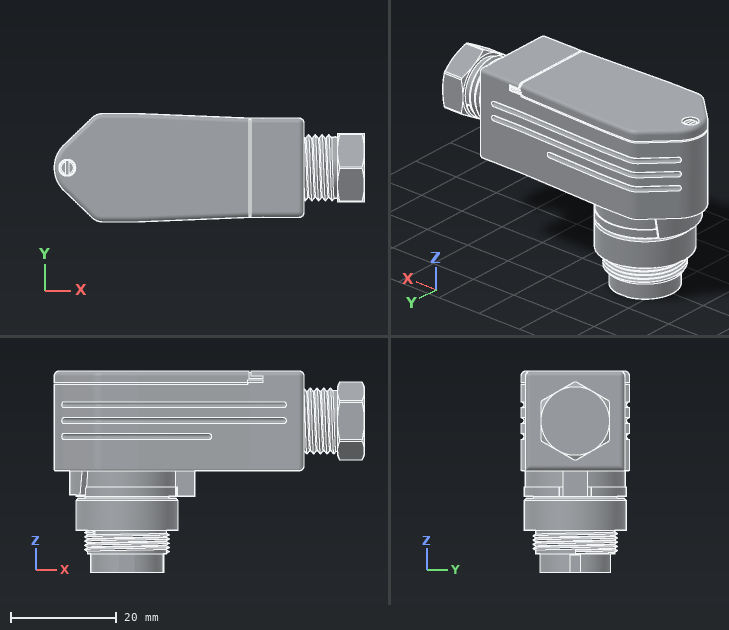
import cadquery as cq
import math

OVERLAP = 0.2

NOSE_X = -13.75
HOUSING_LENGTH = 47.2
HOUSING_WIDTH = 20.5
HOUSING_HEIGHT = 18.9
REAR_WIDTH = 18.8
REAR_X = NOSE_X + HOUSING_LENGTH
SHOULDER_X = 2.05
LID_END_X = 23.05
NOSE_RADIUS = 5.93
DIAGONAL_ANGLE = math.radians(44.0)
CORNER_RADIUS = 2.85
EDGE_RADIUS = 1.0
BOTTOM_EDGE_RADIUS = 0.3

GROOVE_RADIUS = 0.55
GROOVE_SPANS = ((12.5, 29.55), (9.5, 29.55), (6.5, 15.45))

SEAM_DEPTH = 0.1
SEAM_BOTTOM = 16.35
SEAM_WIDTH = 0.3
LATCH_START_X = 22.8
LATCH_END_X = 25.65
LATCH_DEPTH = 0.3
LATCH_SLOTS = ((16.7, 17.2, LATCH_START_X), (17.5, 17.9, LID_END_X))
LID_GAP = 0.35
LID_GAP_DEPTH = 1.3

SCREW_X = -11.27
SCREW_HOLE_DIAMETER = 3.2
SCREW_HEAD_DIAMETER = 2.8
SCREW_HOLE_DEPTH = 1.2
SCREW_HEAD_RECESS = 0.3
SCREW_HEAD_CHAMFER = 0.25
SCREW_SLOT_WIDTH = 0.6
SCREW_SLOT_DEPTH = 0.5

NECK_RADIUS = 9.47
FLANGE_TOP = -3.05
FLANGE_BOTTOM = -4.8
COLLAR_DIAMETER = 19.3
COLLAR_TOP = -5.15
COLLAR_BOTTOM = -11.2
COLLAR_CHAMFER = 0.4
WAIST_RADIUS = 7.9
PANEL_RADIUS = 10.85
PANEL_BOTTOM = -4.5
PANEL_TOP_ANGLE = 38.8
PANEL_BOTTOM_ANGLE = 35.3
TAB_RADIUS = 9.85
TAB_ANGLE = 18.0
BLOCK_END_X = 12.8
BLOCK_WIDTH = 4.6

RIDGE_BASE_SHARE = 0.96
THREAD_DIAMETER = 16.0
THREAD_ROOT_DIAMETER = 15.0
THREAD_PITCH = 0.8
THREAD_TURNS = 4.6
THREAD_BOTTOM = -15.65
PLUG_RADIUS = 6.85
PLUG_FLAT_Y = 6.7
TOTAL_HEIGHT = 38.1
PLUG_BOTTOM = HOUSING_HEIGHT - TOTAL_HEIGHT
KEY_END_X = 7.0
KEY_WIDTH = 2.0
KEY_TOP = -15.9

GLAND_Z = 9.43
GLAND_DIAMETER = 12.5
GLAND_ROOT_DIAMETER = 11.3
GLAND_PITCH = 1.27
GLAND_TURNS = 5.2
GLAND_THREAD_X = 32.7
GLAND_SHOULDER_RADIUS = 5.8
GLAND_SHOULDER_X = 38.7
NUT_X = 39.75
TOTAL_LENGTH = 58.56
NUT_END_X = NOSE_X + TOTAL_LENGTH
NUT_ACROSS_FLATS = 12.95
NUT_TURNED_DIAMETER = 14.75
NUT_CHAMFER_DEPTH = 0.4
NUT_CHAMFER_HEIGHT = 0.9


def cylinder(radius, bottom, top):
    return cq.Workplane("XY").workplane(offset=bottom).circle(radius).extrude(top - bottom)


def box(x_range, y_range, z_range):
    size = [high - low for low, high in (x_range, y_range, z_range)]
    corner = (x_range[0], y_range[0], z_range[0])
    return cq.Workplane("XY").box(*size, centered=False).translate(corner)


def outline_points():
    """Points of the housing side at -Y, from the nose to the rear."""
    half = HOUSING_WIDTH / 2
    along_x = math.cos(DIAGONAL_ANGLE)
    along_y = math.sin(DIAGONAL_ANGLE)
    nose_end = (NOSE_X + NOSE_RADIUS * (1 - along_y), -NOSE_RADIUS * along_x)
    corner_x = nose_end[0] + (half + nose_end[1]) / math.tan(DIAGONAL_ANGLE)
    tangent = CORNER_RADIUS * math.tan(DIAGONAL_ANGLE / 2)
    corner_start = (corner_x - tangent * along_x, -half + tangent * along_y)
    corner_end = (corner_x + tangent, -half)
    corner_mid = (
        corner_end[0] - CORNER_RADIUS * math.sin(DIAGONAL_ANGLE / 2),
        -half + CORNER_RADIUS * (1 - math.cos(DIAGONAL_ANGLE / 2)),
    )
    return nose_end, corner_start, corner_mid, corner_end


def housing_prism():
    nose_end, corner_start, corner_mid, corner_end = outline_points()
    half = HOUSING_WIDTH / 2
    rear_half = REAR_WIDTH / 2

    def mirrored(point):
        return (point[0], -point[1])

    return (
        cq.Workplane("XY")
        .moveTo(*nose_end)
        .lineTo(*corner_start)
        .threePointArc(corner_mid, corner_end)
        .lineTo(SHOULDER_X, -half)
        .lineTo(LID_END_X, -rear_half)
        .lineTo(REAR_X, -rear_half)
        .lineTo(REAR_X, rear_half)
        .lineTo(LID_END_X, rear_half)
        .lineTo(SHOULDER_X, half)
        .lineTo(*mirrored(corner_end))
        .threePointArc(mirrored(corner_mid), mirrored(corner_start))
        .lineTo(*mirrored(nose_end))
        .threePointArc((NOSE_X, 0), nose_end)
        .close()
        .extrude(HOUSING_HEIGHT)
    )


def grip_groove(height, end_x):
    """Cutters of a round groove along the -Y side: the groove and the balls at its ends."""
    nose_end, corner_start, corner_mid, corner_end = outline_points()
    path = (
        cq.Workplane("XY")
        .workplane(offset=height)
        .moveTo(*nose_end)
        .lineTo(*corner_start)
        .threePointArc(corner_mid, corner_end)
        .lineTo(SHOULDER_X, -HOUSING_WIDTH / 2)
    )
    taper_slope = (HOUSING_WIDTH - REAR_WIDTH) / 2 / (LID_END_X - SHOULDER_X)
    if end_x > LID_END_X:
        end_y = -REAR_WIDTH / 2
        path = path.lineTo(LID_END_X, end_y)
    else:
        end_y = -HOUSING_WIDTH / 2 + taper_slope * (end_x - SHOULDER_X)
    path = path.lineTo(end_x, end_y)
    direction = (math.cos(DIAGONAL_ANGLE), -math.sin(DIAGONAL_ANGLE), 0)
    start = cq.Plane(origin=(*nose_end, height), xDir=(0, 0, 1), normal=direction)
    groove = cq.Workplane(start).circle(GROOVE_RADIUS).sweep(path, transition="right")
    ball = cq.Workplane("XY").sphere(GROOVE_RADIUS)
    return groove, ball.translate((*nose_end, height)), ball.translate((end_x, end_y, height))


def cut_grip_grooves(body):
    for height, end_x in GROOVE_SPANS:
        for cutter in grip_groove(height, end_x):
            body = body.cut(cutter).cut(cutter.mirror("XZ"))
    return body


def cut_lid_seam(body, prism):
    """The seam runs round the lid; the latch slots are at both sides of its end."""
    core = prism.faces("<Z").wires().toPending().offset2D(-SEAM_DEPTH).extrude(HOUSING_HEIGHT)
    skin = prism.cut(core)
    side = (-HOUSING_WIDTH, HOUSING_WIDTH)
    seam = box((NOSE_X, LATCH_START_X), side, (SEAM_BOTTOM, SEAM_BOTTOM + SEAM_WIDTH))
    body = body.cut(skin.intersect(seam))
    gap_end = LID_END_X + LID_GAP
    gap_bottom = HOUSING_HEIGHT - LID_GAP_DEPTH
    gap_core = box(
        (LID_END_X, gap_end),
        (LATCH_DEPTH - REAR_WIDTH / 2, REAR_WIDTH / 2 - LATCH_DEPTH),
        (gap_bottom, HOUSING_HEIGHT - LATCH_DEPTH),
    )
    body = body.cut(box((LID_END_X, gap_end), side, (gap_bottom, HOUSING_HEIGHT)).cut(gap_core))
    slot_outer = REAR_WIDTH / 2 + OVERLAP
    slot_inner = REAR_WIDTH / 2 - LATCH_DEPTH
    for bottom, top, start_x in LATCH_SLOTS:
        slot = box((start_x, LATCH_END_X), (slot_inner, slot_outer), (bottom, top))
        body = body.cut(slot).cut(slot.mirror("XZ"))
    return body


def add_screw(body):
    floor = HOUSING_HEIGHT - SCREW_HOLE_DEPTH
    head_top = HOUSING_HEIGHT - SCREW_HEAD_RECESS
    hole = cylinder(SCREW_HOLE_DIAMETER / 2, floor, HOUSING_HEIGHT)
    head = cylinder(SCREW_HEAD_DIAMETER / 2, floor - OVERLAP, head_top)
    head = head.faces(">Z").chamfer(SCREW_HEAD_CHAMFER)
    half_slot = SCREW_SLOT_WIDTH / 2
    half_head = SCREW_HEAD_DIAMETER / 2
    slot = box((-half_slot, half_slot), (-half_head, half_head), (head_top - SCREW_SLOT_DEPTH, head_top))
    place = (SCREW_X, 0, 0)
    return body.cut(hole.translate(place)).union(head.cut(slot).translate(place))


def housing():
    prism = housing_prism()
    body = prism.edges(">Z or >X").fillet(EDGE_RADIUS)
    body = body.faces("<Z").edges("not >X").fillet(BOTTOM_EDGE_RADIUS)
    body = cut_grip_grooves(body)
    body = cut_lid_seam(body, prism)
    return add_screw(body)


def wedge(half_angle, z):
    """Triangle that opens from the plug axis towards -X, reaching past the panel."""
    reach = 2 * PANEL_RADIUS
    spread = reach * math.tan(math.radians(half_angle))
    corners = [(0, 0), (-reach, spread), (-reach, -spread)]
    return cq.Workplane("XY").workplane(offset=z).polyline(corners).close()


def front_panel():
    """Curved plate under the nose, narrower towards the bottom."""
    top = OVERLAP
    top_wire = wedge(PANEL_TOP_ANGLE, top).wire().val()
    bottom_wire = wedge(PANEL_BOTTOM_ANGLE, PANEL_BOTTOM).wire().val()
    sides = cq.Workplane(cq.Solid.makeLoft([top_wire, bottom_wire], True))
    return cylinder(PANEL_RADIUS, PANEL_BOTTOM, top).intersect(sides)


def flange_tab():
    """Raised part of the flange on the +X side."""
    sector = wedge(TAB_ANGLE, FLANGE_BOTTOM).extrude(FLANGE_TOP - FLANGE_BOTTOM).mirror("YZ")
    return cylinder(TAB_RADIUS, FLANGE_BOTTOM, FLANGE_TOP).intersect(sector)


def thread_ridge(crest_diameter, root_diameter, pitch, turns):
    """V-shaped right-hand ridge about Z; it starts at +X with its crest at Z = 0."""
    root = root_diameter / 2 - OVERLAP / 2
    crest = crest_diameter / 2
    half = RIDGE_BASE_SHARE * pitch / 2
    path = cq.Wire.makeHelix(pitch, pitch * turns, root)
    profile = cq.Workplane("XZ").polyline([(root, -half), (crest, 0), (root, half)]).close()
    return profile.sweep(cq.Workplane(path), isFrenet=True)


def coupling():
    body = cylinder(NECK_RADIUS, FLANGE_BOTTOM, OVERLAP)
    body = body.union(cylinder(COLLAR_DIAMETER / 2, FLANGE_BOTTOM, FLANGE_TOP))
    body = body.union(flange_tab())
    body = body.union(front_panel())
    body = body.union(box((0, BLOCK_END_X), (-BLOCK_WIDTH / 2, BLOCK_WIDTH / 2), (FLANGE_BOTTOM, OVERLAP)))
    body = body.union(cylinder(WAIST_RADIUS, COLLAR_TOP - OVERLAP, FLANGE_BOTTOM + OVERLAP))
    collar = cylinder(COLLAR_DIAMETER / 2, COLLAR_BOTTOM, COLLAR_TOP)
    return body.union(collar.faces(">Z").chamfer(COLLAR_CHAMFER))


def plug():
    flats = box((-PLUG_RADIUS, PLUG_RADIUS), (-PLUG_FLAT_Y, PLUG_FLAT_Y), (PLUG_BOTTOM, 0))
    body = cylinder(PLUG_RADIUS, PLUG_BOTTOM, COLLAR_BOTTOM).intersect(flats)
    body = body.union(box((0, KEY_END_X), (-KEY_WIDTH / 2, KEY_WIDTH / 2), (PLUG_BOTTOM, KEY_TOP)))
    body = body.union(cylinder(THREAD_ROOT_DIAMETER / 2, THREAD_BOTTOM, COLLAR_BOTTOM + OVERLAP))
    first_crest = THREAD_BOTTOM + THREAD_PITCH / 2
    ridge = thread_ridge(THREAD_DIAMETER, THREAD_ROOT_DIAMETER, THREAD_PITCH, THREAD_TURNS)
    return body.union(ridge.translate((0, 0, first_crest)))


def gland_nut():
    radius = NUT_TURNED_DIAMETER / 2
    across_corners = NUT_ACROSS_FLATS / math.cos(math.pi / 6)
    length = NUT_END_X - NUT_X
    hexagon = cq.Workplane("XY").workplane(offset=NUT_X).polygon(6, across_corners).extrude(length)
    turned = cylinder(radius, NUT_X, NUT_END_X)
    turned = turned.faces("<Z or >Z").chamfer(NUT_CHAMFER_DEPTH, NUT_CHAMFER_HEIGHT)
    return hexagon.intersect(turned)


def gland():
    """Built along Z, then laid down along X."""
    body = cylinder(GLAND_ROOT_DIAMETER / 2, REAR_X - 2 * OVERLAP, NUT_X + OVERLAP)
    ridge = thread_ridge(GLAND_DIAMETER, GLAND_ROOT_DIAMETER, GLAND_PITCH, GLAND_TURNS)
    body = body.union(ridge.translate((0, 0, GLAND_THREAD_X)))
    body = body.union(cylinder(GLAND_SHOULDER_RADIUS, GLAND_SHOULDER_X, NUT_X + OVERLAP))
    body = body.union(gland_nut())
    return body.rotate((0, 0, 0), (0, 1, 0), 90).translate((0, 0, GLAND_Z))


result = housing().union(coupling()).union(plug()).union(gland())